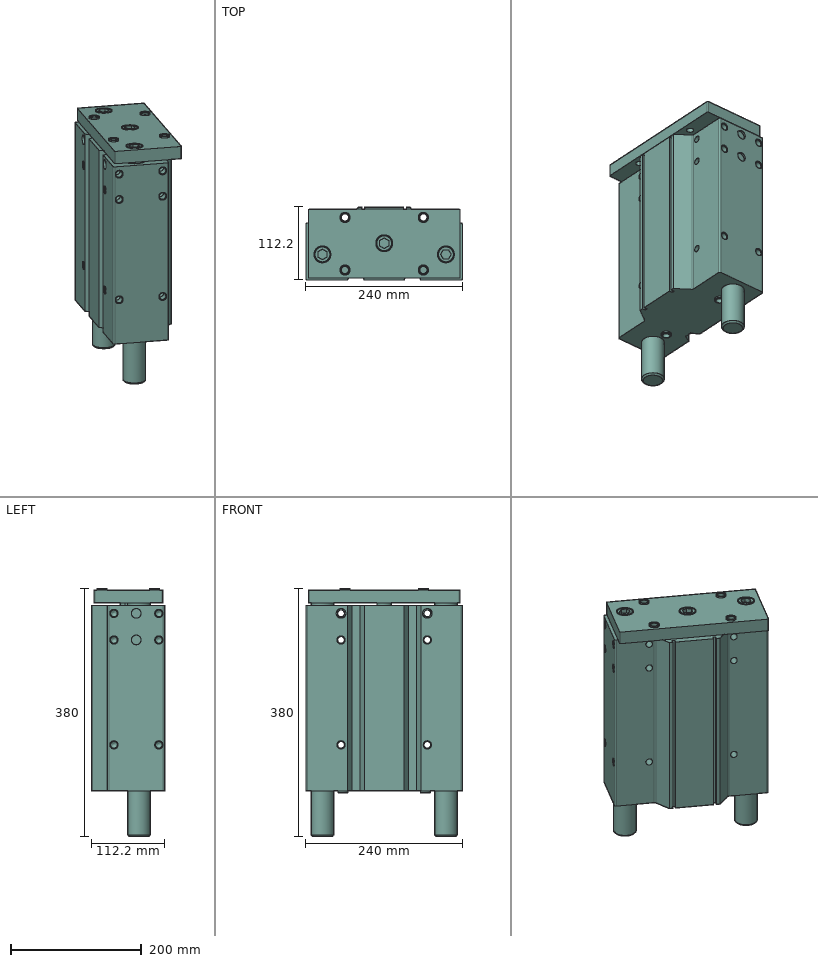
import cadquery as cq
import math


housing_width = 240.0
housing_bottom = 70.0
housing_top = 354.0
front_y = -56.0
back_y = 56.2
shoulder_y = 32.0
outer_edge_radius = 2.5
spine_back_half_width = 39.5
spine_flank_angle = 35.6
spine_root_radius = 3.0

groove_inner_x = 30.5
groove_outer_x = 56.2
groove_depth = 12.0
groove_wall_angle = 60

sensor_slot_x = 32.0
sensor_slot_width = 4.0
sensor_slot_depth = 5.7

mount_hole_diameter = 10.3
mount_countersink_diameter = 12.5
mount_countersink_angle = 90
top_counterbore_diameter = 15.0
top_counterbore_depth = 3.8
mount_hole_heights = [140.5, 301.3, 342.0]
front_hole_x = 66.0
side_hole_ys = [-46.7, 22.0]
side_hole_depth = 15.2
drill_point_angle = 118

port_diameter = 15.0
port_recess = 3.0
port_y = -12.0
port_heights = mount_hole_heights[1:]

collar_diameter = 15.5
collar_bore = 11.0
collar_bore_chamfer = 1.0
housing_collar_chamfer = 1.0
housing_collar_x = 63.0
housing_collar_height = 3.5
housing_collar_bore_depth = 19.0

plate_width = 232.5
plate_depth = 105.5
plate_bottom = 358.0
plate_top = 377.5
plate_edge_radius = 1.5
overall_height = 380.0
plate_hole_x = 60.0
plate_hole_y = 40.3

guide_x = 94.5
guide_y = -16.5
guide_diameter = 35.0
guide_chamfer = 2.5
piston_y = 0.8
piston_diameter = 24.0
piston_bottom = (housing_bottom + housing_top) / 2
piston_across_flats = 22.0

screw_head_diameter = 25.0
screw_head_height = 16.0
screw_head_chamfer = 1.0
screw_recess_diameter = 26.0
screw_shank_diameter = 16.0
screw_shank_length = 22.8
socket_across_flats = 14.0
socket_depth = 6.5
screw_seat_z = plate_top - screw_head_height
screw_tip_z = screw_seat_z - screw_shank_length

left_guide_axis = (-guide_x, guide_y)
right_guide_axis = (guide_x, guide_y)
piston_axis = (0, piston_y)
guide_axes = [left_guide_axis, right_guide_axis]
screw_axes = [*guide_axes, piston_axis]
housing_collar_axes = [(-housing_collar_x, guide_y), (housing_collar_x, guide_y)]


def cylinder(axis, diameter, bottom, top):
    """Upright cylinder around the (x, y) axis."""
    return cq.Workplane("XY", origin=(*axis, bottom)).circle(diameter / 2).extrude(top - bottom)


def upright_prism(outline):
    """Prism over the full height of the housing."""
    base = cq.Workplane("XY", origin=(0, 0, housing_bottom))
    return base.polyline(outline).close().extrude(housing_top - housing_bottom)


def make_housing_blank():
    """Two wings with rounded outer edges and a tapered spine behind them."""
    half_width = housing_width / 2
    flank_run = (back_y - shoulder_y) * math.tan(math.radians(spine_flank_angle))
    spine_root_half_width = spine_back_half_width + flank_run
    blank = upright_prism([
        (-half_width, front_y),
        (half_width, front_y),
        (half_width, shoulder_y),
        (spine_root_half_width, shoulder_y),
        (spine_back_half_width, back_y),
        (-spine_back_half_width, back_y),
        (-spine_root_half_width, shoulder_y),
        (-half_width, shoulder_y),
    ])
    blank = blank.edges("|Z and (<X or >X)").fillet(outer_edge_radius)
    middle_z = (housing_bottom + housing_top) / 2
    for root_x in (-spine_root_half_width, spine_root_half_width):
        root_edge = cq.selectors.NearestToPointSelector((root_x, shoulder_y, middle_z))
        blank = blank.edges("|Z").edges(root_edge).fillet(spine_root_radius)
    return blank


def cut_grooves(body):
    """Front grooves and rear sensor slots, mirrored about the YZ plane."""
    wall_run = groove_depth / math.tan(math.radians(groove_wall_angle))
    floor_y = front_y + groove_depth
    groove = upright_prism([
        (groove_inner_x, front_y),
        (groove_outer_x, front_y),
        (groove_outer_x - wall_run, floor_y),
        (groove_inner_x + wall_run, floor_y),
    ])
    slot_inner_x = sensor_slot_x - sensor_slot_width / 2
    slot_outer_x = sensor_slot_x + sensor_slot_width / 2
    slot_floor_y = back_y - sensor_slot_depth
    slot = upright_prism([
        (slot_inner_x, slot_floor_y),
        (slot_outer_x, slot_floor_y),
        (slot_outer_x, back_y),
        (slot_inner_x, back_y),
    ])
    for cutter in (groove, slot):
        body = body.cut(cutter).cut(cutter.mirror("YZ"))
    return body


def cut_front_holes(body):
    """Through holes in Y; the top pair is counterbored, the others are countersunk."""
    face = cq.Workplane("XZ", origin=(0, front_y, 0))
    top_height = max(mount_hole_heights)
    for z in mount_hole_heights:
        holes = body.copyWorkplane(face).pushPoints([(-front_hole_x, z), (front_hole_x, z)])
        if z == top_height:
            body = holes.cboreHole(mount_hole_diameter, top_counterbore_diameter, top_counterbore_depth)
        else:
            body = holes.cskHole(mount_hole_diameter, mount_countersink_diameter, mount_countersink_angle)
    return body


def make_side_hole_cutter(y, z):
    """Countersunk blind hole with a drill point, bored in +X from the -X side."""
    hole_radius = mount_hole_diameter / 2
    mouth_radius = mount_countersink_diameter / 2
    mouth_depth = (mouth_radius - hole_radius) / math.tan(math.radians(mount_countersink_angle / 2))
    point_length = hole_radius / math.tan(math.radians(drill_point_angle / 2))
    profile = [
        (0, 0),
        (0, mouth_radius),
        (mouth_depth, hole_radius),
        (side_hole_depth, hole_radius),
        (side_hole_depth + point_length, 0),
    ]
    half_section = cq.Workplane("XY", origin=(-housing_width / 2, y, z)).polyline(profile).close()
    return half_section.revolve(360, (0, 0), (1, 0))


def cut_side_holes(body):
    for y in side_hole_ys:
        for z in mount_hole_heights:
            cutter = make_side_hole_cutter(y, z)
            body = body.cut(cutter).cut(cutter.mirror("YZ"))
    return body


def cut_ports(body):
    side = cq.Workplane("YZ", origin=(-housing_width / 2, 0, 0))
    ports = side.pushPoints([(port_y, z) for z in port_heights]).circle(port_diameter / 2)
    return body.cut(ports.extrude(port_recess))


def make_housing():
    body = make_housing_blank()
    body = cut_grooves(body)
    body = cut_front_holes(body)
    body = cut_side_holes(body)
    body = cut_ports(body)
    for axis in guide_axes:
        body = body.cut(cylinder(axis, guide_diameter, housing_bottom, housing_top))
    body = body.cut(cylinder(piston_axis, piston_diameter, piston_bottom, housing_top))
    collar_bottom = housing_bottom - housing_collar_height
    collar_bore_top = housing_bottom + housing_collar_bore_depth
    for axis in housing_collar_axes:
        collar = cylinder(axis, collar_diameter, collar_bottom, housing_bottom)
        body = body.union(collar.faces("<Z").chamfer(housing_collar_chamfer))
        body = body.cut(cylinder(axis, collar_bore, collar_bottom, collar_bore_top))
    return body


def make_collar_mouth(axis):
    """Conical cutter that chamfers the bore of a plate collar."""
    bottom = overall_height - collar_bore_chamfer
    narrow_end = cq.Workplane("XY", origin=(*axis, bottom)).circle(collar_bore / 2)
    wide_end = narrow_end.workplane(offset=collar_bore_chamfer).circle(collar_bore / 2 + collar_bore_chamfer)
    return wide_end.loft()


def make_plate():
    """Plate with four collared through holes and a stepped hole for each screw."""
    plate = cq.Workplane("XY", origin=(0, 0, plate_bottom)).rect(plate_width, plate_depth)
    plate = plate.extrude(plate_top - plate_bottom).edges("|Z").fillet(plate_edge_radius)
    for x in (-plate_hole_x, plate_hole_x):
        for y in (-plate_hole_y, plate_hole_y):
            plate = plate.union(cylinder((x, y), collar_diameter, plate_top, overall_height))
            bore = cylinder((x, y), collar_bore, plate_bottom, overall_height)
            plate = plate.cut(bore).cut(make_collar_mouth((x, y)))
    for axis in screw_axes:
        plate = plate.cut(cylinder(axis, screw_shank_diameter, plate_bottom, screw_seat_z))
        plate = plate.cut(cylinder(axis, screw_recess_diameter, screw_seat_z, plate_top))
    return plate


def cut_screw_hole(rod, axis):
    return rod.cut(cylinder(axis, screw_shank_diameter, screw_tip_z, plate_bottom))


def make_guide_rod(axis):
    rod = cylinder(axis, guide_diameter, 0, plate_bottom)
    rod = rod.faces("<Z").chamfer(guide_chamfer)
    return cut_screw_hole(rod, axis)


def make_piston_rod():
    """Rod with two wrench flats between the housing and the plate."""
    rod = cylinder(piston_axis, piston_diameter, piston_bottom, housing_top)
    neck = cylinder(piston_axis, piston_diameter, housing_top, plate_bottom)
    flats = cq.Workplane("XY", origin=(*piston_axis, housing_top)).rect(piston_across_flats, piston_diameter)
    neck = neck.intersect(flats.extrude(plate_bottom - housing_top))
    return cut_screw_hole(rod.union(neck), piston_axis)


def make_screw(axis, socket_rotation):
    """Socket head screw, its head flush with the plate; the socket is turned about Z in degrees."""
    head = cylinder(axis, screw_head_diameter, screw_seat_z, plate_top)
    head = head.faces(">Z").chamfer(screw_head_chamfer)
    socket_across_corners = socket_across_flats / math.cos(math.pi / 6)
    socket_plane = cq.Workplane("XY", origin=(*axis, plate_top)).transformed(rotate=(0, 0, socket_rotation))
    head = head.cut(socket_plane.polygon(6, socket_across_corners).extrude(-socket_depth))
    shank = cylinder(axis, screw_shank_diameter, screw_tip_z, screw_seat_z)
    return head.union(shank)


housing = make_housing()
plate = make_plate()
guide_rods = [make_guide_rod(axis) for axis in guide_axes]
piston_rod = make_piston_rod()
screws = [
    make_screw(left_guide_axis, 30),
    make_screw(right_guide_axis, 0),
    make_screw(piston_axis, 30),
]

result = cq.Compound.makeCompound([
    housing.val(),
    plate.val(),
    *[rod.val() for rod in guide_rods],
    piston_rod.val(),
    *[screw.val() for screw in screws],
])